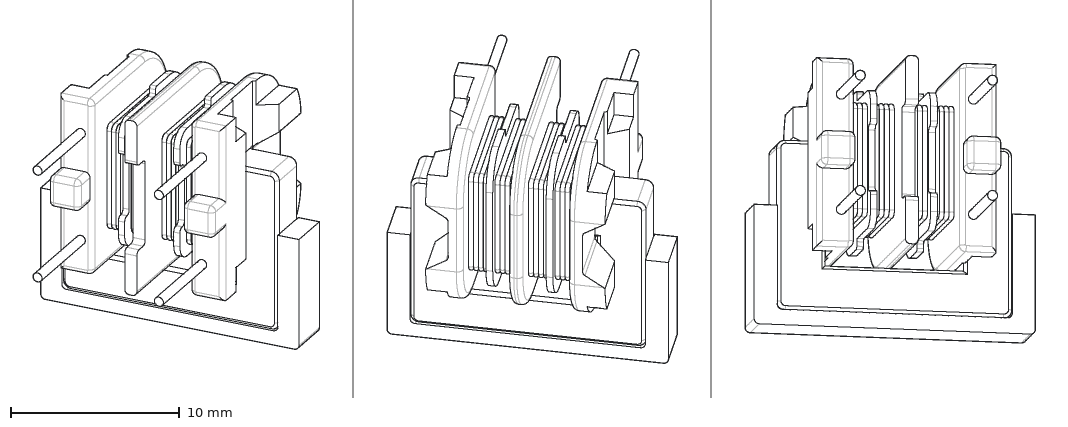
import cadquery as cq


depth_half = 1.41
clip_half_width = 8.5
clip_top = -2.58
clip_bottom = -9.81
clip_radius = 0.3
core_half_width = 7.1
core_leg_half = 1.4
core_bottom = -8.87
core_radius = 0.51
core_chamfer = 0.22
window_half_width = 4.18
window_bottom = -6.12

flange_half_height = 5.7
flange_back = 5.29
flange_back_radius = 3.45
front_reach = -6.75

end_inner = 3.21
end_outer = 5.42
end_front = -flange_back
end_inner_round = 0.35
end_front_round = 0.3
tab_round = 0.34
core_clearance = 0.05
bore_half_height = core_leg_half + core_clearance
channel_floor = 4.06
channel_half = depth_half + core_clearance
channel_flare = 0.82
ledge_face = 4.23
ledge_height = 4.11
post_back = -3.64
groove_mouth_half = 2.3
groove_floor_half = 1.43
groove_radius = 0.3
tab_inner = 3.4
tab_half_height = 1.02

pin_diameter = 0.6
pin_x = 4.0
pin_z = 3.48
pin_tip = -11.22

middle_width = 0.8
middle_half_width = middle_width / 2
middle_round = 0.3
middle_notch_half = 2.77
middle_notch_floor = -5.61
middle_notch_radius = 0.29

divider_x = 1.82
divider_width = 0.4
divider_back = 4.0
divider_front = -4.23
divider_tall_half = 4.78
divider_low_half = 4.16
divider_back_radius = 1.99
divider_front_radius = 0.99
divider_step_radius = 0.17
divider_notch_half = 2.0
divider_notch_floor = -3.6
divider_notch_radius = 0.29

coil_half = 3.45
coil_corner_radius = 0.42
turns_per_section = 4
strip_depth = 0.08

slack = 0.17


def block(x0, x1, y0, y1, z0, z1):
    """Box between two opposite corners."""
    return cq.Workplane("XY").box(x1 - x0, y1 - y0, z1 - z0, centered=False).translate((x0, y0, z0))


def edge_at(y, z):
    """Selector for the X-direction edge that passes through (y, z)."""
    reach = 0.008
    x_reach = clip_half_width
    return cq.selectors.BoxSelector((-x_reach, y - reach, z - reach), (x_reach, y + reach, z + reach))


def round_pair(body, y, z, radius):
    """Round the two X-direction edges at (y, z) and (y, -z)."""
    return body.edges(edge_at(y, z) + edge_at(y, -z)).fillet(radius)


def make_clip():
    clip = block(-clip_half_width, clip_half_width, -depth_half, depth_half, clip_bottom, clip_top)
    clip = clip.edges("|Y and <Z").fillet(clip_radius)
    pocket = block(-core_half_width, core_half_width, -depth_half, depth_half, core_bottom, clip_top)
    return clip.cut(pocket.edges("|Y and <Z").fillet(clip_radius))


def make_core():
    core = block(-core_half_width, core_half_width, -depth_half, depth_half, core_bottom, core_leg_half)
    core = core.edges("|Y").fillet(core_radius)
    window = block(-window_half_width, window_half_width, -depth_half, depth_half,
                   window_bottom, -core_leg_half)
    return core.cut(window).faces("<Y or >Y").edges().chamfer(core_chamfer)


def flange_blank(x0, x1, front):
    """Plate with a square front and two large rounded corners at the back."""
    plate = block(x0, x1, front, flange_back, -flange_half_height, flange_half_height)
    return plate.edges("|X and >Y").fillet(flange_back_radius)


def make_end_flange():
    """End flange on the +X side."""
    flange = flange_blank(end_inner, end_outer, end_front)
    flange = flange.faces("<X").edges("not <Y").fillet(end_inner_round)
    flange = flange.faces("<Y").edges().fillet(end_front_round)

    flare = channel_flare / (end_outer - channel_floor)
    mouth_x = end_outer + slack
    mouth_half = channel_half + flare * (mouth_x - channel_floor)
    channel = (
        cq.Workplane("XY", origin=(0, 0, -flange_half_height))
        .polyline([(channel_floor, -channel_half), (mouth_x, -mouth_half),
                   (mouth_x, mouth_half), (channel_floor, channel_half)])
        .close()
        .extrude(2 * flange_half_height)
    )
    flange = flange.cut(channel)

    flange = flange.cut(block(end_inner, channel_floor, -channel_half, channel_half,
                              -bore_half_height, bore_half_height))

    for side in (-1, 1):
        z0, z1 = sorted((side * ledge_height, side * (flange_half_height + slack)))
        flange = flange.cut(block(ledge_face, mouth_x, post_back, flange_back, z0, z1))

    groove_flare = (groove_mouth_half - groove_floor_half) / (end_outer - channel_floor)
    groove_half = groove_floor_half + groove_flare * (mouth_x - channel_floor)
    groove = (
        cq.Workplane("XZ")
        .polyline([(channel_floor, -groove_floor_half), (mouth_x, -groove_half),
                   (mouth_x, groove_half), (channel_floor, groove_floor_half)])
        .close()
        .extrude(-(flange_back + slack))
        .edges("|Y and <X")
        .fillet(groove_radius)
    )
    flange = flange.cut(groove)

    tab = block(tab_inner, end_outer, front_reach, post_back, -tab_half_height, tab_half_height)
    tab = tab.edges("not >Y").fillet(tab_round)
    flange = flange.union(tab)

    for side in (-1, 1):
        pin = (
            cq.Workplane("XZ", origin=(pin_x, post_back, side * pin_z))
            .circle(pin_diameter / 2)
            .extrude(post_back - pin_tip)
        )
        flange = flange.union(pin)
    return flange


def make_middle_flange():
    flange = flange_blank(-middle_half_width, middle_half_width, front_reach)
    flange = flange.edges("(<X or >X) and (not <Y)").fillet(middle_round)
    notch = block(-middle_half_width, middle_half_width, front_reach, middle_notch_floor,
                  -middle_notch_half, middle_notch_half)
    flange = flange.cut(notch)
    for y in (front_reach, middle_notch_floor):
        flange = round_pair(flange, y, middle_notch_half, middle_notch_radius)
    return flange


def make_divider():
    """Thin plate, taller behind the Y = 0 plane, with a notch in its front."""
    half = divider_width / 2
    plate = block(-half, half, 0, divider_back, -divider_tall_half, divider_tall_half)
    plate = plate.union(block(-half, half, divider_front, 0, -divider_low_half, divider_low_half))
    plate = plate.cut(block(-half, half, divider_front, divider_notch_floor,
                            -divider_notch_half, divider_notch_half))
    plate = round_pair(plate, divider_back, divider_tall_half, divider_back_radius)
    plate = round_pair(plate, divider_front, divider_low_half, divider_front_radius)
    plate = round_pair(plate, 0, divider_tall_half, divider_step_radius)
    plate = round_pair(plate, 0, divider_low_half, divider_step_radius)
    for y in (divider_front, divider_notch_floor):
        plate = round_pair(plate, y, divider_notch_half, divider_notch_radius)
    return plate


def make_winding(x0, x1):
    """Row of touching round-wire turns that fills the gap from x0 to x1."""
    pitch = (x1 - x0) / turns_per_section
    wire_radius = pitch / 2
    valley_half = coil_half - wire_radius
    valley_corner_radius = coil_corner_radius - wire_radius

    row = block(x0, x1, -valley_half, valley_half, -valley_half, valley_half)
    row = row.edges("|X").fillet(valley_corner_radius)

    path = row.faces("<X").wires().vals()[0]
    strip = cq.Workplane("XZ").moveTo(x0, valley_half - strip_depth).lineTo(x0, valley_half)
    for turn in range(turns_per_section):
        left = x0 + turn * pitch
        strip = strip.threePointArc((left + wire_radius, coil_half), (left + pitch, valley_half))
    strip = strip.lineTo(x1, valley_half - strip_depth).close()
    return row.union(strip.sweep(cq.Workplane(path)))


half_divider = divider_width / 2
bobbin_half = make_end_flange()
bobbin_half = bobbin_half.union(make_divider().translate((divider_x, 0, 0)))
bobbin_half = bobbin_half.union(make_winding(middle_half_width, divider_x - half_divider))
bobbin_half = bobbin_half.union(make_winding(divider_x + half_divider, end_inner))

result = make_middle_flange().union(bobbin_half).union(bobbin_half.mirror("YZ"))
result = result.union(make_core()).union(make_clip())